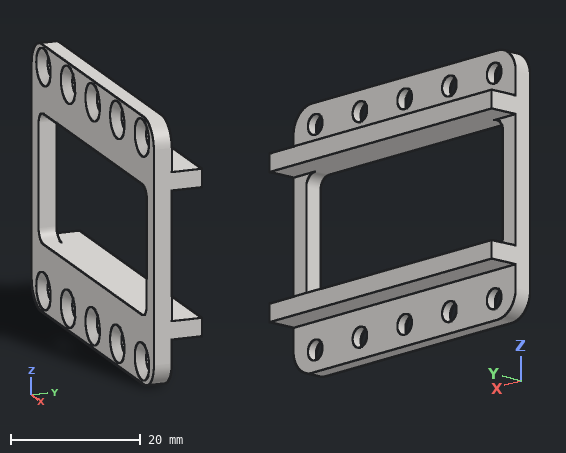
import cadquery as cq

plate_width = 51.2
plate_height = 43.1
plate_thickness = 3.0
corner_radius = 4.2

side_border = 3.0
window_width = plate_width - 2 * side_border
window_height = 21.0
window_corner_radius = 2.0

total_depth = 8.0
rib_thickness = 3.0
rib_depth = total_depth - plate_thickness
rib_center_height = (window_height + rib_thickness) / 2

row_count = 2
row_spacing = 36.05
holes_per_row = 5
hole_pitch = 10.3
hole_diameter = 3.3
countersink_diameter = 6.0
countersink_angle = 90.0


def upright_block(width, depth, height):
    """Block centred in X and Z that reaches from Y = 0 to Y = depth."""
    return cq.Workplane("XY").box(width, depth, height, centered=(True, False, True))


def rounded_block(width, height, radius):
    """Upright block as thick as the plate, with its four corners rounded."""
    return upright_block(width, plate_thickness, height).edges("|Y").fillet(radius)


def make_plate():
    """Rounded plate with the window cut through it."""
    blank = rounded_block(plate_width, plate_height, corner_radius)
    window = rounded_block(window_width, window_height, window_corner_radius)
    return blank.cut(window)


def drill_screw_holes(plate):
    """Through holes in the plate, countersunk from the front face."""
    return (
        plate.faces("<Y")
        .workplane(origin=(0, 0, 0))
        .rarray(hole_pitch, row_spacing, holes_per_row, row_count)
        .cskHole(hole_diameter, countersink_diameter, countersink_angle)
    )


def make_rib(center_height):
    """Full-width rib on the back face of the plate."""
    rib = upright_block(plate_width, rib_depth, rib_thickness)
    return rib.translate((0, plate_thickness, center_height))


result = drill_screw_holes(make_plate())
for side in (-1, 1):
    result = result.union(make_rib(side * rib_center_height))